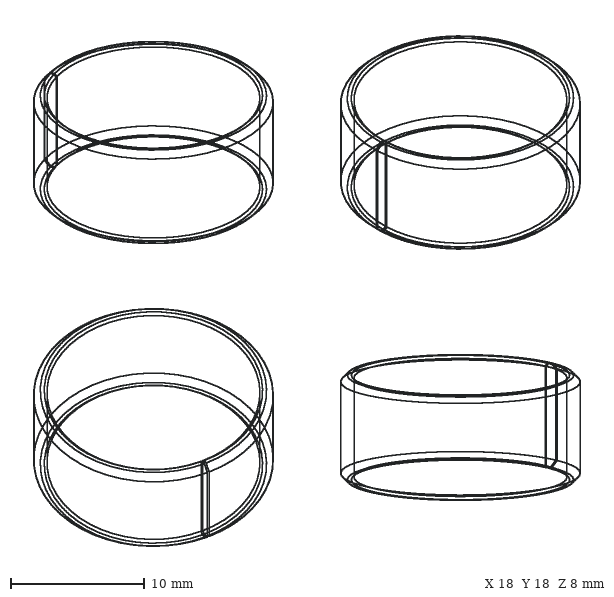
import cadquery as cq

outer_radius = 9.0
wall = 1.0
length = 8.0
outer_chamfer = 0.5
inner_chamfer = 0.2
slit_angle = 1.0

inner_radius = outer_radius - wall
half_length = length / 2


def wall_section():
    """Chamfered wall profile on the -X side, in the XZ plane."""
    outline = [
        (-inner_radius, -half_length + inner_chamfer),
        (-inner_radius - inner_chamfer, -half_length),
        (-outer_radius + outer_chamfer, -half_length),
        (-outer_radius, -half_length + outer_chamfer),
        (-outer_radius, half_length - outer_chamfer),
        (-outer_radius + outer_chamfer, half_length),
        (-inner_radius - inner_chamfer, half_length),
        (-inner_radius, half_length - inner_chamfer),
    ]
    return cq.Workplane("XZ").polyline(outline).close()


result = wall_section().revolve(360 - slit_angle, (0, 0), (0, 1))